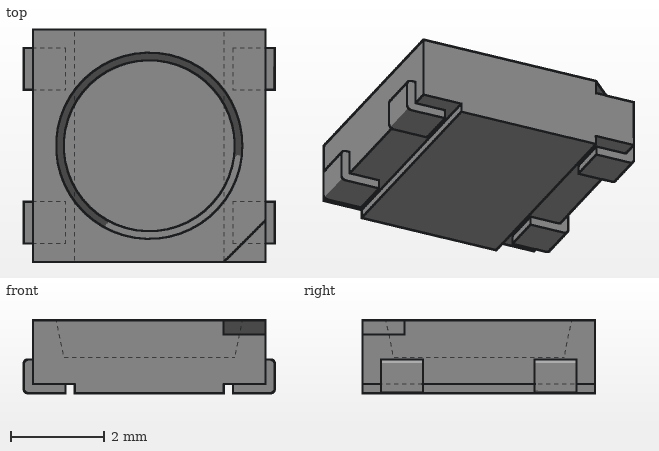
import cadquery as cq

overall_length = 5.4
body_width = 5.0
overall_height = 1.57

lead_thickness = (overall_length - body_width) / 2
lead_width = 0.9
lead_spacing = 3.3
lead_height = 0.73
lead_inner_x = 1.8
lead_edge_radius = 0.1

foot_length = 3.2

cup_top_diameter = 4.0
cup_floor_diameter = 3.67
cup_depth = 0.8

notch_leg = 0.9
notch_depth = 0.3


def make_body():
    """Square block with a narrower foot running along Y."""
    block = (
        cq.Workplane("XY")
        .workplane(offset=lead_thickness)
        .rect(body_width, body_width)
        .extrude(overall_height - lead_thickness)
    )
    foot = cq.Workplane("XY").rect(foot_length, body_width).extrude(lead_thickness)
    return block.union(foot)


def make_cup():
    """Tapered cutter, open at the top face."""
    return (
        cq.Workplane("XY")
        .workplane(offset=overall_height - cup_depth)
        .circle(cup_floor_diameter / 2)
        .workplane(offset=cup_depth)
        .circle(cup_top_diameter / 2)
        .loft(ruled=True)
    )


def make_corner_notch():
    """Triangular cutter at the +X, -Y corner of the top face."""
    edge = body_width / 2
    return (
        cq.Workplane("XY")
        .workplane(offset=overall_height - notch_depth)
        .moveTo(edge, -edge)
        .lineTo(edge, -edge + notch_leg)
        .lineTo(edge - notch_leg, -edge)
        .close()
        .extrude(notch_depth)
    )


def make_lead(center_y):
    """Lead on the +X side with its outer long edges rounded."""
    outer_x = overall_length / 2
    side_x = body_width / 2
    return (
        cq.Workplane("XZ", origin=(0, center_y, 0))
        .moveTo(lead_inner_x, 0)
        .lineTo(outer_x, 0)
        .lineTo(outer_x, lead_height)
        .lineTo(side_x, lead_height)
        .lineTo(side_x, lead_thickness)
        .lineTo(lead_inner_x, lead_thickness)
        .close()
        .extrude(lead_width / 2, both=True)
        .faces(">X")
        .edges("|Y")
        .fillet(lead_edge_radius)
    )


result = make_body().cut(make_cup()).cut(make_corner_notch())
for center_y in (-lead_spacing / 2, lead_spacing / 2):
    lead = make_lead(center_y)
    result = result.union(lead).union(lead.mirror("YZ"))